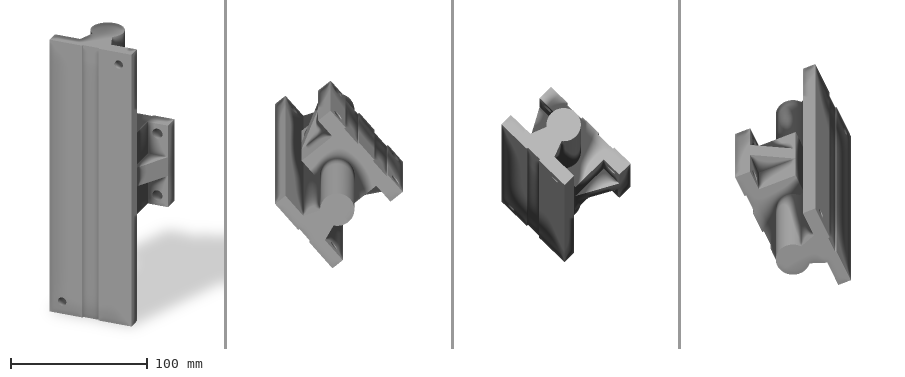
import cadquery as cq
import math


rail_length = 220.0
shaft_radius = 12.5
plate_width = 65.1
plate_thickness = 10.0
plate_bottom_y = -32.0
plate_top_y = plate_bottom_y + plate_thickness
neck_top_half_width = 7.7
neck_root_half_width = 12.3
neck_top_y = -math.sqrt(shaft_radius**2 - neck_top_half_width**2)
relief_width = 12.5
relief_depth = 1.0
rail_hole_diameter = 6.5
rail_hole_x = 22.5
rail_hole_end_distance = 10.0

carriage_width = 82.0
carriage_length = 66.0
carriage_height = 41.1
carriage_top_y = 28.2
carriage_bottom_y = carriage_top_y - carriage_height
flange_thickness = 11.9
flange_bottom_y = carriage_top_y - flange_thickness
body_width = 50.0
groove_width = 15.5
groove_spacing = 32.5
groove_depth = 1.3
rib_thickness = 15.2
mount_hole_diameter = 8.0
mount_hole_spacing_x = 65.1
mount_hole_spacing_z = 50.0
liner_radius = 16.5
mouth_clearance = 1.0


def box_between(x_range, y_range, z_length):
    """Box spanning the given X and Y ranges, centred on the XY plane along Z."""
    x_size = x_range[1] - x_range[0]
    y_size = y_range[1] - y_range[0]
    center = ((x_range[0] + x_range[1]) / 2, (y_range[0] + y_range[1]) / 2, 0)
    return cq.Workplane("XY").box(x_size, y_size, z_length).translate(center)


def cross_section(points, z_length):
    """Prism of a closed outline, centred on the XY plane along Z."""
    return cq.Workplane("XY").polyline(points).close().extrude(z_length / 2, both=True)


def cylinder_along_y(diameter, x, z, y_range):
    """Cylinder parallel to Y, used to drill the plate and the flange."""
    height = y_range[1] - y_range[0]
    return cq.Workplane(cq.Solid.makeCylinder(
        diameter / 2, height, cq.Vector(x, y_range[0], z), cq.Vector(0, 1, 0)
    ))


def make_rail():
    """Round shaft carried on a tapered neck above a flat mounting plate."""
    rail = cq.Workplane("XY").circle(shaft_radius).extrude(rail_length / 2, both=True)
    neck = cross_section(
        [
            (-neck_top_half_width, neck_top_y),
            (neck_top_half_width, neck_top_y),
            (neck_root_half_width, plate_top_y),
            (-neck_root_half_width, plate_top_y),
        ],
        rail_length,
    )
    plate = box_between(
        (-plate_width / 2, plate_width / 2), (plate_bottom_y, plate_top_y), rail_length
    )
    relief = box_between(
        (-relief_width / 2, relief_width / 2),
        (plate_bottom_y, plate_bottom_y + relief_depth),
        rail_length,
    )
    rail = rail.union(neck).union(plate).cut(relief)

    hole_z = rail_length / 2 - rail_hole_end_distance
    for side in (-1, 1):
        rail = rail.cut(cylinder_along_y(
            rail_hole_diameter, side * rail_hole_x, side * hole_z, (plate_bottom_y, plate_top_y)
        ))
    return rail


def make_ribs():
    """Pair of triangular ribs, made as one trapezoid that runs through the body."""
    return cross_section(
        [
            (-carriage_width / 2, flange_bottom_y),
            (carriage_width / 2, flange_bottom_y),
            (body_width / 2, carriage_bottom_y),
            (-body_width / 2, carriage_bottom_y),
        ],
        rib_thickness,
    )


def make_bore():
    """Bore that fits the shaft, with a mouth that follows the neck at a small clearance."""
    neck_slope = (neck_root_half_width - neck_top_half_width) / (neck_top_y - plate_top_y)
    mouth_top_half_width = neck_top_half_width + neck_slope * neck_top_y + mouth_clearance
    mouth_bottom_half_width = mouth_top_half_width - neck_slope * carriage_bottom_y
    mouth = cross_section(
        [
            (-mouth_top_half_width, 0),
            (mouth_top_half_width, 0),
            (mouth_bottom_half_width, carriage_bottom_y),
            (-mouth_bottom_half_width, carriage_bottom_y),
        ],
        carriage_length,
    )
    bore = cq.Workplane("XY").circle(shaft_radius).extrude(carriage_length / 2, both=True)
    return bore.union(mouth)


def make_carriage():
    """Flanged open bearing block that slides along the shaft."""
    half_width = carriage_width / 2
    flange = box_between((-half_width, half_width), (flange_bottom_y, carriage_top_y), carriage_length)
    body = box_between(
        (-body_width / 2, body_width / 2), (carriage_bottom_y, flange_bottom_y), carriage_length
    )
    carriage = flange.union(body).union(make_ribs()).cut(make_bore())

    for side in (-1, 1):
        groove_x = side * groove_spacing / 2
        carriage = carriage.cut(box_between(
            (groove_x - groove_width / 2, groove_x + groove_width / 2),
            (carriage_top_y - groove_depth, carriage_top_y),
            carriage_length,
        ))
        for end in (-1, 1):
            carriage = carriage.cut(cylinder_along_y(
                mount_hole_diameter,
                side * mount_hole_spacing_x / 2,
                end * mount_hole_spacing_z / 2,
                (flange_bottom_y, carriage_top_y),
            ))

    liner_envelope = cq.Workplane("XY").circle(liner_radius).extrude(carriage_length / 2, both=True)
    liner = carriage.intersect(liner_envelope)
    return carriage.cut(liner_envelope).union(liner, clean=False)


rail = make_rail()
carriage = make_carriage()

result = cq.Compound.makeCompound([rail.val(), carriage.val()])